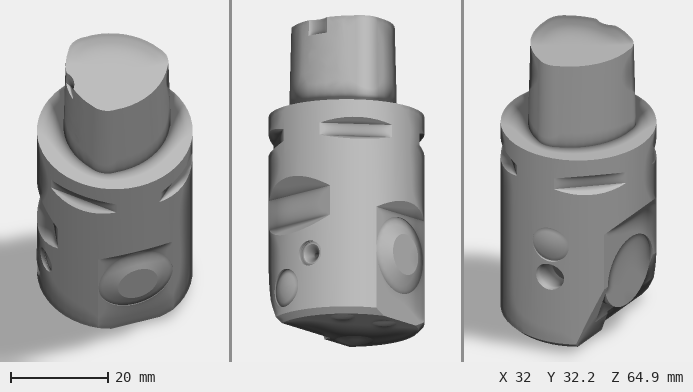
import math
import cadquery as cq


OVERALL_LENGTH = 64.85

SHANK_LENGTH = 19.0
SHANK_TAPER = 0.485
LOBE_REACH = 11.85
SIDE_REACH = 10.4
SEAM_REACH = 11.35
SEAM_ANGLE = 13.5
LOBE_PITCH = 120
LOBE_ANGLES = [90 + LOBE_PITCH * lobe for lobe in range(3)]
KEYWAY_DIAMETER = 7.7
KEYWAY_HEIGHT = 3.3
KEYWAY_FLOOR_Y = -8.95

BODY_DIAMETER = 32.0
BODY_RADIUS = BODY_DIAMETER / 2
BODY_LENGTH = 45.0
BOTTOM_CHAMFER = 1.2
CUT_SIZE = 2 * BODY_DIAMETER

GROOVE_ANGLES = (45, 135, 225, 315)
GROOVE_REACH = 14.15
GROOVE_TOP = -4.75
GROOVE_BOTTOM = -7.25
GROOVE_FLANK_ANGLE = 29

FLAT_REACH = 13.05
FLAT_TOP = -18.15
FRONT_FLAT_BOTTOM = -24.25
FRONT_FLAT_ANGLE = 259.5
FLAT_RUNOUT_ANGLE = 45
DIAL_FLAT_REACH = 13.8
DIAL_FLAT_TOP = -22.45

BORE_DIAMETER = 16.0
BORE_Z = -31.2
POCKET_X = -9.85
BAR_FACE_X = -12.3
DIAL_BACK_X = 10.7
DIAL_RIM_X = 13.6
DIAL_FACE_X = 15.25
DIAL_FACE_DIAMETER = 8.55

SLOPE_ANGLE = 18.5
STEEP_SLOPE_TOP = -39.5
STEEP_SLOPE_ANGLE = 32
STEEP_SLOPE_EDGE_Y = 3.6

PLUG_DIAMETER = 8.0
PLUG_DOME = 0.9
PLUG_SOCKET = 2.3
BOTTOM_PLUG_ROOT = 1.3
FRONT_PLUG_ANGLE = 254.4
FRONT_PLUG_CREST = 16.15
FRONT_PLUG_Z = -38.4
BACK_PLUG_ANGLE = 103.6
BACK_PLUG_CREST = 16.35
BACK_PLUG_Z = -20.7
LOWER_PLUG = (-4.2, 8.1)
LOWER_PLUG_DOME = OVERALL_LENGTH - SHANK_LENGTH - BODY_LENGTH
SMALL_PLUGS = ((9.8, 0), (6.55, -9.9))
SMALL_PLUG_DIAMETER = 5.0
SMALL_PLUG_DOME = 0.4

OUTLET_X = 2.4
OUTLET_Z = -32.0
OUTLET_DIAMETER = 5.25
OUTLET_STEP_DIAMETER = 5.0
OUTLET_STEP_DEPTH = 0.2
OUTLET_FLOOR_Y = -15.05
OUTLET_CONE_DIAMETER = 4.0
OUTLET_CONE_DEPTH = 1.6
OUTLET_BORE_DIAMETER = 1.0
OUTLET_BORE_DEPTH = 1.0

SCREW_HOLE_X = -3.6
SCREW_HOLE_Z = -28.35
SCREW_HOLE_DIAMETER = 6.0
SCREW_HOLE_FLOOR_Y = 10.4


def polar(reach, angle):
    turn = math.radians(angle)
    return (reach * math.cos(turn), reach * math.sin(turn))


def lobed_wire(z, shrink):
    """Closed three-lobed outline of alternating lobe and side arcs."""
    outline = cq.Workplane("XY", origin=(0, 0, z))
    outline = outline.moveTo(*polar(SEAM_REACH - shrink, LOBE_ANGLES[0] - SEAM_ANGLE))
    for crest in LOBE_ANGLES:
        outline = outline.threePointArc(
            polar(LOBE_REACH - shrink, crest),
            polar(SEAM_REACH - shrink, crest + SEAM_ANGLE),
        )
        outline = outline.threePointArc(
            polar(SIDE_REACH - shrink, crest + LOBE_PITCH / 2),
            polar(SEAM_REACH - shrink, crest + LOBE_PITCH - SEAM_ANGLE),
        )
    return outline.close().val()


def make_shank():
    solid = cq.Solid.makeLoft([lobed_wire(0, 0), lobed_wire(SHANK_LENGTH, SHANK_TAPER)], True)
    keyway = (
        cq.Workplane("XY", origin=(0, KEYWAY_FLOOR_Y - KEYWAY_DIAMETER / 2, SHANK_LENGTH))
        .circle(KEYWAY_DIAMETER / 2)
        .extrude(-KEYWAY_HEIGHT)
    )
    return cq.Workplane(solid).cut(keyway)


def flat_cutter(angle, reach, top, bottom, flank_angle):
    """Cutter for a flat facing the given direction, with flanks sloping outward."""
    depth = BODY_RADIUS - reach
    rise = depth * math.tan(math.radians(flank_angle))
    profile = [
        (reach, bottom),
        (reach, top),
        (reach + 2 * depth, top + 2 * rise),
        (reach + 2 * depth, bottom - 2 * rise),
    ]
    return (
        cq.Workplane("XZ")
        .polyline(profile)
        .close()
        .extrude(BODY_RADIUS, both=True)
        .rotate((0, 0, 0), (0, 0, 1), angle)
    )


def slope_cutter(x, z, angle, y_max):
    """Cutter for everything on the -X side of a face sloping inward going down from (x, z)."""
    drop = CUT_SIZE
    run = drop * math.tan(math.radians(angle))
    profile = [(x, z), (x + run, z - drop), (x - CUT_SIZE, z - drop), (x - CUT_SIZE, z)]
    return cq.Workplane("XZ", origin=(0, y_max, 0)).polyline(profile).close().extrude(CUT_SIZE)


def slope_x(z):
    """X of the first sloping face at height z."""
    return -FLAT_REACH + (BORE_Z - z) * math.tan(math.radians(SLOPE_ANGLE))


def x_cylinder(diameter, x_start, x_end):
    """Cylinder along X on the bore axis."""
    return (
        cq.Workplane("YZ", origin=(x_start, 0, BORE_Z))
        .circle(diameter / 2)
        .extrude(x_end - x_start)
    )


def dome(diameter, height, base, origin, direction):
    """Spherical cap on a straight base; origin is the centre of the cap's rim."""
    radius = diameter / 2
    sphere_radius = (radius**2 + height**2) / (2 * height)
    half_height = height - sphere_radius + math.sqrt(sphere_radius**2 - radius**2 / 4)
    profile = (
        cq.Workplane("XZ")
        .moveTo(0, -base)
        .lineTo(radius, -base)
        .lineTo(radius, 0)
        .threePointArc((radius / 2, half_height), (0, height))
        .close()
        .revolve(360, (0, 0), (0, 1))
    )
    plane = cq.Plane(origin=origin, xDir=(1, 0, 0), normal=direction)
    return cq.Workplane(profile.val().moved(cq.Location(plane)))


def add_side_plug(body, angle, crest, z):
    """Radial socket in the body side with a domed plug in it."""
    outward = (*polar(1, angle), 0)
    floor = cq.Plane(
        origin=(*polar(crest - PLUG_SOCKET, angle), z), xDir=(0, 0, 1), normal=outward
    )
    socket = cq.Workplane(floor).circle(PLUG_DIAMETER / 2).extrude(BODY_RADIUS)
    rim_centre = (*polar(crest - PLUG_DOME, angle), z)
    plug = dome(PLUG_DIAMETER, PLUG_DOME, PLUG_SOCKET, rim_centre, outward)
    return body.cut(socket).union(plug)


def add_bottom_plugs(body):
    down = (0, 0, -1)
    rim_centre = (*LOWER_PLUG, -BODY_LENGTH)
    body = body.union(dome(PLUG_DIAMETER, LOWER_PLUG_DOME, BOTTOM_PLUG_ROOT, rim_centre, down))
    for x, y in SMALL_PLUGS:
        rim_centre = (x, y, -BODY_LENGTH)
        body = body.union(dome(SMALL_PLUG_DIAMETER, SMALL_PLUG_DOME, BOTTOM_PLUG_ROOT, rim_centre, down))
    return body


def outlet_cutter():
    """Stepped counterbore, cone and fine bore along +Y, as one turned shape."""
    cone_end = OUTLET_CONE_DEPTH
    bore_end = cone_end + OUTLET_BORE_DEPTH
    profile = [
        (0, -BODY_RADIUS),
        (OUTLET_DIAMETER / 2, -BODY_RADIUS),
        (OUTLET_DIAMETER / 2, -OUTLET_STEP_DEPTH),
        (OUTLET_STEP_DIAMETER / 2, -OUTLET_STEP_DEPTH),
        (OUTLET_STEP_DIAMETER / 2, 0),
        (OUTLET_CONE_DIAMETER / 2, 0),
        (OUTLET_BORE_DIAMETER / 2, cone_end),
        (OUTLET_BORE_DIAMETER / 2, bore_end),
        (0, bore_end),
    ]
    return (
        cq.Workplane("XY")
        .polyline(profile)
        .close()
        .revolve(360, (0, 0), (0, 1))
        .translate((OUTLET_X, OUTLET_FLOOR_Y, OUTLET_Z))
    )


def screw_hole_cutter():
    return (
        cq.Workplane("XZ", origin=(SCREW_HOLE_X, SCREW_HOLE_FLOOR_Y, SCREW_HOLE_Z))
        .circle(SCREW_HOLE_DIAMETER / 2)
        .extrude(-BODY_RADIUS)
    )


def bar_slot_cutter():
    """Slot as wide as the bore, open downward and toward -X."""
    return (
        cq.Workplane("XY")
        .box(CUT_SIZE, BORE_DIAMETER, CUT_SIZE, centered=(False, True, False))
        .translate((POCKET_X - CUT_SIZE, 0, BORE_Z - CUT_SIZE))
    )


def make_housing():
    below = -2 * BODY_LENGTH
    body = (
        cq.Workplane("XY")
        .circle(BODY_RADIUS)
        .extrude(-BODY_LENGTH)
        .faces("<Z")
        .chamfer(BOTTOM_CHAMFER)
    )
    for angle in GROOVE_ANGLES:
        body = body.cut(flat_cutter(angle, GROOVE_REACH, GROOVE_TOP, GROOVE_BOTTOM, GROOVE_FLANK_ANGLE))
    body = body.cut(
        flat_cutter(FRONT_FLAT_ANGLE, FLAT_REACH, FLAT_TOP, FRONT_FLAT_BOTTOM, FLAT_RUNOUT_ANGLE)
    )
    body = body.cut(flat_cutter(180, FLAT_REACH, FLAT_TOP, below, FLAT_RUNOUT_ANGLE))
    body = body.cut(flat_cutter(0, DIAL_FLAT_REACH, DIAL_FLAT_TOP, below, FLAT_RUNOUT_ANGLE))
    body = body.cut(slope_cutter(-FLAT_REACH, BORE_Z, SLOPE_ANGLE, BODY_RADIUS))
    body = body.cut(
        slope_cutter(slope_x(STEEP_SLOPE_TOP), STEEP_SLOPE_TOP, STEEP_SLOPE_ANGLE, STEEP_SLOPE_EDGE_Y)
    )
    body = body.cut(bar_slot_cutter())
    body = body.cut(x_cylinder(BORE_DIAMETER, -BODY_RADIUS, BODY_RADIUS))
    body = add_side_plug(body, FRONT_PLUG_ANGLE, FRONT_PLUG_CREST, FRONT_PLUG_Z)
    body = add_side_plug(body, BACK_PLUG_ANGLE, BACK_PLUG_CREST, BACK_PLUG_Z)
    body = add_bottom_plugs(body)
    body = body.cut(outlet_cutter()).cut(screw_hole_cutter())
    return body.union(make_shank())


def make_bar():
    return x_cylinder(BORE_DIAMETER, BAR_FACE_X, DIAL_BACK_X)


def make_dial():
    """Disc in the end of the bore with a conical front."""
    profile = [
        (DIAL_BACK_X, 0),
        (DIAL_BACK_X, BORE_DIAMETER / 2),
        (DIAL_RIM_X, BORE_DIAMETER / 2),
        (DIAL_FACE_X, DIAL_FACE_DIAMETER / 2),
        (DIAL_FACE_X, 0),
    ]
    return (
        cq.Workplane("XZ")
        .polyline(profile)
        .close()
        .revolve(360, (0, 0), (1, 0))
        .translate((0, 0, BORE_Z))
    )


housing = make_housing()
bar = make_bar()
dial = make_dial()

result = cq.Compound.makeCompound([housing.solids().val(), bar.val(), dial.val()])